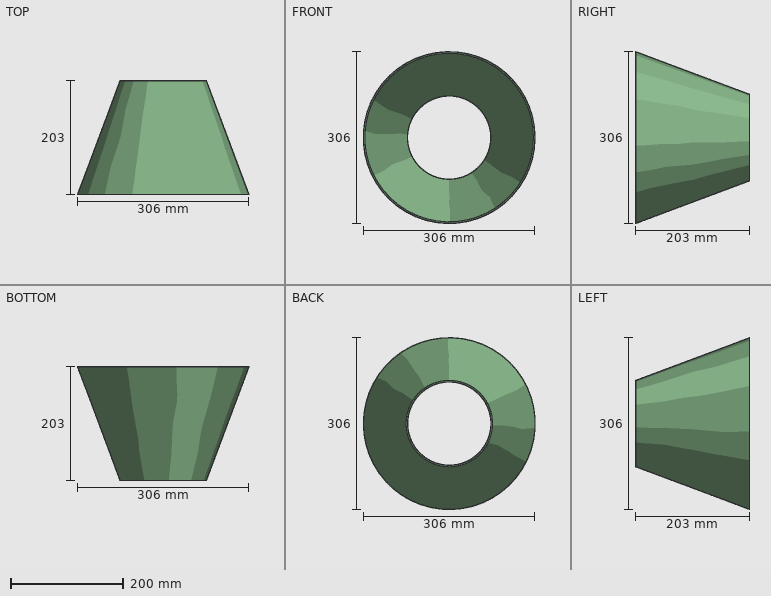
import cadquery as cq

large_diameter = 306.0
small_diameter = 154.0
length = 203.0
radial_wall = 3.0

large_radius = large_diameter / 2
small_radius = small_diameter / 2

wall_section = (
    cq.Workplane("XY")
    .moveTo(large_radius - radial_wall, 0)
    .lineTo(large_radius, 0)
    .lineTo(small_radius, length)
    .lineTo(small_radius - radial_wall, length)
    .close()
)

result = wall_section.revolve(360, (0, 0, 0), (0, 1, 0))